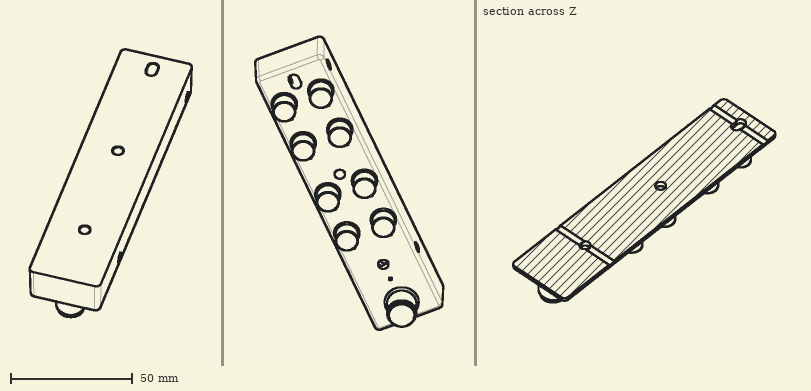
import cadquery as cq

LENGTH = 129.7
WIDTH = 30.6
DEPTH = 16.1
DRAFT_ANGLE = 1.0
CORNER_RADIUS = 2.1
EDGE_RADIUS = 1.5
UNDERSIDE = -DEPTH

HOLE_DIAMETER = 4.3
HOLE_CHAMFER = 0.3
SLOT_LENGTH = 6.7
SLOT_Y = 57.3
LOWER_HOLE_Y = -36.0
MIDDLE_HOLE_Y = 10.0
CROSS_HOLE_DEPTH = 12.0

SOCKET_DIAMETER = 9.2
SOCKET_LENGTH = 6.6
SOCKET_ROW_X = 8.2
SOCKET_YS = (49.3, 29.3, 3.2, -16.7)
SOCKET_FOOT = 0.6
SOCKET_TIP_CHAMFER = 0.3

PLUG_Y = -55.4
PLUG_DIAMETER = 12.0
PLUG_FOOT = 1.0
PLUG_TIP_DIAMETER = 10.6
PLUG_SHOULDER_LENGTH = 9.2
PLUG_LENGTH = 11.3

DOME_RADIUS = 1.0
DOME_PROTRUSION = 0.3
SOCKET_DOME_OFFSET = -7.3
PLUG_DOME_OFFSET = 11.9

EMBED = 1.3


def housing():
    block = (
        cq.Workplane("XY")
        .rect(WIDTH, LENGTH)
        .extrude(-DEPTH, taper=DRAFT_ANGLE)
    )
    block = block.edges("not #Z").fillet(CORNER_RADIUS)
    return block.faces("<Z").edges().fillet(EDGE_RADIUS)


def turned_pin(x, y, profile):
    """Solid of revolution from (radius, distance below the underside) points."""
    end_distance = profile[-1][1]
    outline = [(0, -EMBED), (profile[0][0], -EMBED)] + profile + [(0, end_distance)]
    points = [(radius, UNDERSIDE - distance) for radius, distance in outline]
    pin = cq.Workplane("XZ").polyline(points).close().revolve(360, (0, 0, 0), (0, 1, 0))
    return pin.translate((x, y, 0))


def socket(x, y):
    radius = SOCKET_DIAMETER / 2
    profile = [
        (radius + SOCKET_FOOT, 0),
        (radius, SOCKET_FOOT),
        (radius, SOCKET_LENGTH - SOCKET_TIP_CHAMFER),
        (radius - SOCKET_TIP_CHAMFER, SOCKET_LENGTH),
    ]
    return turned_pin(x, y, profile)


def plug(x, y):
    radius = PLUG_DIAMETER / 2
    tip_radius = PLUG_TIP_DIAMETER / 2
    profile = [
        (radius + PLUG_FOOT, 0),
        (radius, PLUG_FOOT),
        (radius, PLUG_SHOULDER_LENGTH),
        (tip_radius, PLUG_SHOULDER_LENGTH + radius - tip_radius),
        (tip_radius, PLUG_LENGTH),
    ]
    return turned_pin(x, y, profile)


def dome(x, y):
    center_z = UNDERSIDE + DOME_RADIUS - DOME_PROTRUSION
    return cq.Workplane("XY").sphere(DOME_RADIUS).translate((x, y, center_z))


def mounting_holes():
    """Two round holes and one slot through the flat face, chamfered at the top."""
    rim = HOLE_DIAMETER + 2 * HOLE_CHAMFER
    centers = [(0, MIDDLE_HOLE_Y), (0, LOWER_HOLE_Y)]
    plane = cq.Workplane("XY")
    round_holes = plane.pushPoints(centers).circle(HOLE_DIAMETER / 2).extrude(-DEPTH)
    slot = plane.center(0, SLOT_Y).slot2D(SLOT_LENGTH, HOLE_DIAMETER, 90).extrude(-DEPTH)
    round_rims = plane.pushPoints(centers).circle(rim / 2).extrude(-HOLE_CHAMFER, taper=45)
    slot_rim = (
        plane.center(0, SLOT_Y)
        .slot2D(SLOT_LENGTH + 2 * HOLE_CHAMFER, rim, 90)
        .extrude(-HOLE_CHAMFER, taper=45)
    )
    return round_holes.union(slot).union(round_rims).union(slot_rim)


def cross_holes():
    """Holes across the full width, below the slot and the lower round hole."""
    centers = [(SLOT_Y, -CROSS_HOLE_DEPTH), (LOWER_HOLE_Y, -CROSS_HOLE_DEPTH)]
    return (
        cq.Workplane("YZ")
        .pushPoints(centers)
        .circle(HOLE_DIAMETER / 2)
        .extrude(WIDTH / 2, both=True)
    )


result = housing()
for row_x in (-SOCKET_ROW_X, SOCKET_ROW_X):
    for socket_y in SOCKET_YS:
        result = result.union(socket(row_x, socket_y))
        result = result.union(dome(row_x, socket_y + SOCKET_DOME_OFFSET))
result = result.union(plug(0, PLUG_Y))
result = result.union(dome(0, PLUG_Y + PLUG_DOME_OFFSET))
result = result.cut(mounting_holes()).cut(cross_holes())